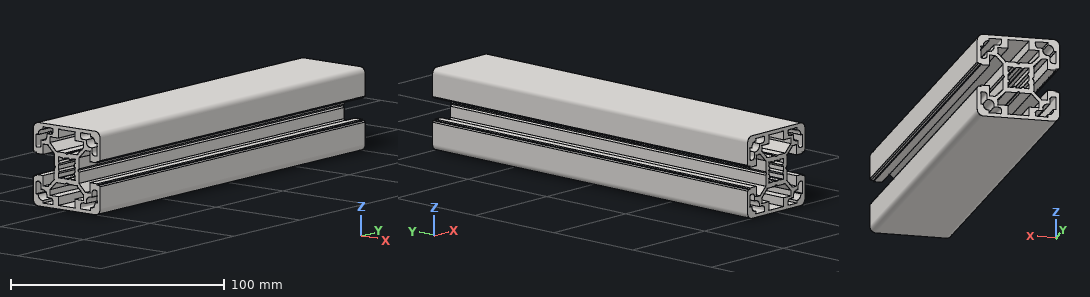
import cadquery as cq
import math

length = 200.0
width = 40.0
half_width = width / 2
corner_radius = 3.0
wall = 1.8

core_half = 7.5
bore_half = 5.0
rib_offset = 2.0
rib_half_width = 1.0
rib_height = 0.7
groove_half_width = 0.8
groove_depth = 0.5

web_thickness = 1.8
web_shift = web_thickness / math.sqrt(2)

neck_half = 5.0
lip_inner = 14.0
channel_half = 10.0
lip_step_depth = 1.8
lip_step_height = 0.5
lip_edge_chamfer = 0.5

hollow_outer = half_width - wall
arm_tip = 8.2
arm_inner = 15.2
arm_round_outer = 0.5
arm_round_inner = 1.5
arm_root = 14.2
screw_centre = 14.5
screw_radius = 2.5

end_overrun = 2.0
cut_length = length + 2 * end_overrun


def prism(points):
    """Solid through the whole bar from an (X, Z) outline."""
    return cq.Workplane("XZ").polyline(points).close().extrude(cut_length / 2, both=True)


def turned(cutter, angle):
    """Cutter rotated about the bar axis."""
    return cutter.rotate((0, 0, 0), (0, 1, 0), angle)


def mirrored_outline(half_points):
    """Close a +X half outline with its mirror image across the Z axis."""
    return half_points + [(-x, z) for x, z in reversed(half_points) if x > 0]


def channel(mouth_points):
    """T channel above the core, ended at the top by the given half outline."""
    return prism(mirrored_outline([
        (0, core_half - groove_depth),
        (groove_half_width, core_half),
        (core_half - web_shift, core_half),
        (channel_half, channel_half + web_shift),
        (channel_half, lip_inner),
        (neck_half, lip_inner),
    ] + mouth_points))


def open_slot():
    """Channel open to the outside, with stepped and chamfered lips."""
    step_half = neck_half + lip_step_height
    return channel([
        (neck_half, half_width - lip_step_depth),
        (step_half, half_width - lip_step_depth),
        (step_half, half_width - lip_edge_chamfer),
        (step_half + lip_edge_chamfer, half_width),
    ])


def closed_channel():
    """Channel closed by the outer wall."""
    return channel([(neck_half, hollow_outer)])


def block(x_min, x_max, z_min, z_max):
    """Rectangular cutter through the whole bar."""
    return cq.Workplane("XY").box(x_max - x_min, cut_length, z_max - z_min).translate(
        ((x_min + x_max) / 2, 0, (z_min + z_max) / 2))


def rod(x, z, radius):
    """Round cutter through the whole bar."""
    return cq.Workplane("XZ").circle(radius).extrude(cut_length / 2, both=True).translate((x, 0, z))


def corner_hollow():
    """Hollow of the +X +Z corner."""
    elbow = screw_centre - screw_radius
    arm_above = (
        block(arm_tip, arm_root, arm_inner, hollow_outer)
        .edges("|Y and <X and >Z").fillet(arm_round_outer)
        .edges("|Y and <X and <Z").fillet(arm_round_inner)
        .union(block(elbow, arm_root, screw_centre, hollow_outer))
    )
    arm_beside = (
        block(arm_inner, hollow_outer, arm_tip, arm_root)
        .edges("|Y and <Z and >X").fillet(arm_round_outer)
        .edges("|Y and <Z and <X").fillet(arm_round_inner)
        .union(block(screw_centre, hollow_outer, elbow, arm_root))
    )
    return rod(screw_centre, screw_centre, screw_radius).union(arm_above).union(arm_beside)


def rib(offset):
    """V rib hanging from the top wall of the bore."""
    return prism([
        (offset - rib_half_width, bore_half),
        (offset, bore_half - rib_height),
        (offset + rib_half_width, bore_half),
    ])


def bore():
    """Square bore with two V ribs standing on each wall."""
    cutter = block(-bore_half, bore_half, -bore_half, bore_half)
    for quarter in range(4):
        for offset in (-rib_offset, rib_offset):
            cutter = cutter.cut(turned(rib(offset), 90 * quarter))
    return cutter


bar = cq.Workplane("XY").box(width, length, width).edges("|Y").fillet(corner_radius)
bar = bar.cut(bore())
for half_turn in (0, 180):
    bar = bar.cut(turned(closed_channel(), half_turn))
    bar = bar.cut(turned(open_slot(), half_turn + 90))
for quarter in range(4):
    bar = bar.cut(turned(corner_hollow(), 90 * quarter))

result = bar